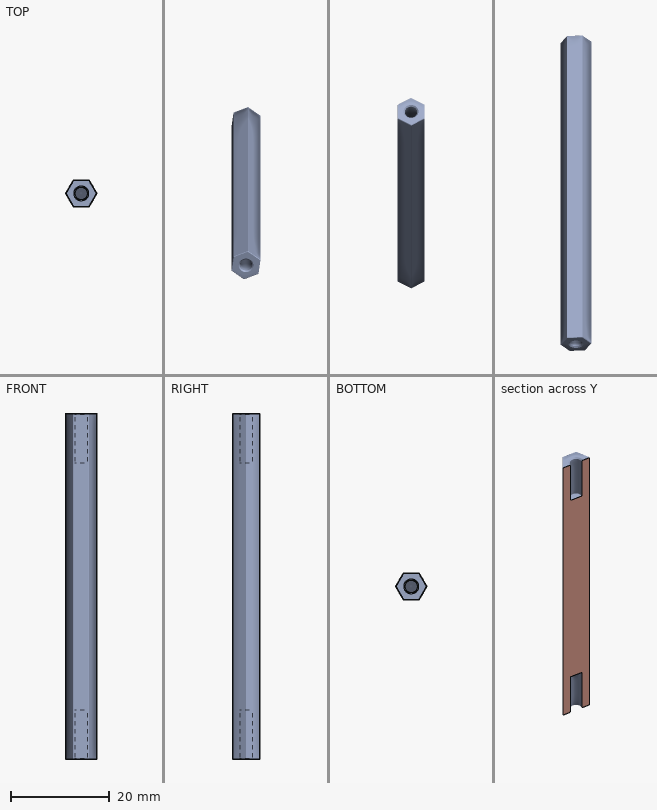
import cadquery as cq
import math

side_count = 6
across_flats = 5.5
length = 70.0
edge_radius = 0.1
end_chamfer = 0.1

hole_diameter = 2.5
hole_mouth_diameter = 3.0
hole_depth = 10.0


def hex_bar():
    """Hexagonal bar standing on Z = 0, with flats facing +Y and -Y."""
    across_corners = across_flats / math.cos(math.pi / side_count)
    bar = cq.Workplane("XY").polygon(side_count, across_corners).extrude(length)
    bar = bar.edges("|Z").fillet(edge_radius)
    return bar.faces("<Z or >Z").chamfer(end_chamfer)


def end_hole():
    """Cutter for a hole opening at Z = 0, with a 45 degree countersunk mouth."""
    hole_radius = hole_diameter / 2
    mouth_radius = hole_mouth_diameter / 2
    mouth_depth = mouth_radius - hole_radius
    return (
        cq.Workplane("XZ")
        .moveTo(0, 0)
        .lineTo(mouth_radius, 0)
        .lineTo(hole_radius, mouth_depth)
        .lineTo(hole_radius, hole_depth)
        .lineTo(0, hole_depth)
        .close()
        .revolve(360, (0, 0, 0), (0, 1, 0))
    )


bottom_hole = end_hole()
top_hole = bottom_hole.mirror("XY").translate((0, 0, length))

result = hex_bar().cut(bottom_hole).cut(top_hole)